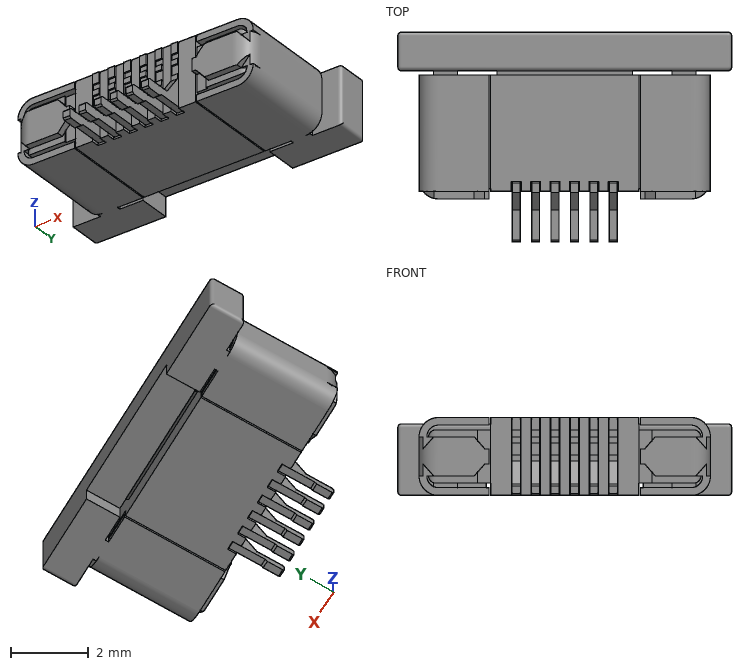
import cadquery as cq
import math


overall_depth = 5.4
height = 2.01
housing_half_width = 1.91
housing_depth = 3.0

wing_half_width = 3.51
wing_bottom = 0.315
wing_top = 1.69
wing_radius = 0.2
wing_recess_depth = 0.06
wing_recess_half_width = 2.25

sheet = 0.2
clip_half_width = 3.75
clip_bend_radius = 0.5
inner_bend_radius = clip_bend_radius - sheet
clip_gap = 0.04
clip_inner_end = housing_half_width + clip_gap
clip_bend_x = clip_half_width - clip_bend_radius
flap_bottom = clip_bend_radius
flap_top = height - clip_bend_radius
flap_chamfer_height = 0.31
flap_inner_chamfer = 0.27
flap_outer_chamfer = 0.28
flap_end_step = 0.11

slider_half_width = 4.3
slider_depth = 1.0
slider_gap = 0.1
slider_front = housing_depth + slider_gap
slider_height = 1.845
slider_radius = 0.1
cable_slot_half_width = 2.02
cable_slot_height = 0.6
tongue_half_width = 1.75
tongue_bottom = 0.63
tongue_tip_bottom = 0.75
tongue_top = 1.35
side_tab_inner = 2.76
side_tab_outer = 3.38

pin_count = 6
pin_pitch = 0.5
pin_width = 0.21
pin_slot_width = 0.25
pin_slot_depth = 0.25
pin_back_chamfer = 0.04
pin_face = -0.03
pin_notch_face = 0.02
upper_notch = (1.51, 1.69)
lower_notch = (1.04, 1.35)
leg_top = 0.886
foot_tip = slider_front + slider_depth - overall_depth
foot_top = 0.29
foot_start = -0.48
foot_chamfer = 0.05
pin_underside = 0.06
sole_start = -0.79

pin_positions = [(i - (pin_count - 1) / 2) * pin_pitch for i in range(pin_count)]


def block(x, y, z):
    """Box between the two limits given for each axis."""
    size = [limits[1] - limits[0] for limits in (x, y, z)]
    return cq.Workplane("XY").box(*size, centered=False).translate((x[0], y[0], z[0]))


def extrude_along_y(outline, start, end):
    """Extrude an XZ outline from Y = start to Y = end."""
    return outline.extrude(start - end).translate((0, start, 0))


def make_wing():
    """Right wing of the housing, rounded along its outer edges and recessed at its inner end."""
    wing = block((0, wing_half_width), (0, housing_depth), (wing_bottom, wing_top))
    wing = wing.edges(">X and (|Y or <Y)").fillet(wing_radius)
    recess = block((0, wing_recess_half_width), (0, wing_recess_depth), (0, height))
    return wing.cut(recess)


def make_clip_shell():
    """C-shaped wrap of the right clip, with its side wall cut back where the flap bends off it."""
    def rounded_bar(inset):
        right = clip_half_width - inset
        bar = block((-right, right), (0, housing_depth), (inset, height - inset))
        return bar.edges("|Y").fillet(clip_bend_radius - inset)

    inner_limit = block((clip_inner_end, clip_half_width), (0, housing_depth), (0, height))
    shell = rounded_bar(0).cut(rounded_bar(sheet)).intersect(inner_limit)
    bend_space = block((clip_bend_x, clip_half_width), (0, inner_bend_radius), (flap_bottom, flap_top))
    return shell.cut(bend_space)


def make_clip_flap():
    """Front flap of the right clip, bent inward from the side wall, with its corners cut off."""
    bend_y = inner_bend_radius
    diagonal = math.sqrt(0.5)
    flap = (
        cq.Workplane("XY")
        .workplane(offset=flap_bottom)
        .moveTo(clip_inner_end, -sheet)
        .lineTo(clip_bend_x, -sheet)
        .threePointArc(
            (clip_bend_x + clip_bend_radius * diagonal, bend_y - clip_bend_radius * diagonal),
            (clip_half_width, bend_y),
        )
        .lineTo(clip_half_width - sheet, bend_y)
        .threePointArc(
            (clip_bend_x + inner_bend_radius * diagonal, bend_y - inner_bend_radius * diagonal),
            (clip_bend_x, 0),
        )
        .lineTo(clip_inner_end, 0)
        .close()
        .extrude(flap_top - flap_bottom)
    )
    outer_end = clip_bend_x + math.sqrt(clip_bend_radius**2 - bend_y**2)
    shoulder = clip_inner_end + flap_end_step
    low = flap_bottom + flap_chamfer_height
    high = flap_top - flap_chamfer_height
    outline = cq.Workplane("XZ").polyline([
        (clip_inner_end, low),
        (shoulder, low),
        (shoulder + flap_inner_chamfer, flap_bottom),
        (outer_end - flap_outer_chamfer, flap_bottom),
        (outer_end, low),
        (outer_end, high),
        (outer_end - flap_outer_chamfer, flap_top),
        (shoulder + flap_inner_chamfer, flap_top),
        (shoulder, high),
        (clip_inner_end, high),
    ]).close()
    front_part = extrude_along_y(outline, -sheet, 0)
    rear_part = block((0, clip_half_width), (0, housing_depth), (0, height))
    return flap.intersect(front_part.union(rear_part))


def make_slider():
    """Slider bar with a cable slot through its underside, a tapered tongue and two side tabs."""
    slider_y = (slider_front, slider_front + slider_depth)
    full_width = (-slider_half_width, slider_half_width)
    bar = block(full_width, slider_y, (0, slider_height))
    bar = bar.edges("|Z or >Z").fillet(slider_radius)
    rounded_ends = block(full_width, slider_y, (0, slider_height))
    rounded_ends = rounded_ends.edges("|Y and <Z").fillet(slider_radius)
    bar = bar.intersect(rounded_ends)
    slot_x = (-cable_slot_half_width, cable_slot_half_width)
    bar = bar.cut(block(slot_x, slider_y, (0, cable_slot_height)))

    tongue = (
        cq.Workplane("YZ")
        .polyline([
            (housing_depth, tongue_tip_bottom),
            (slider_front, tongue_bottom),
            (slider_front, tongue_top),
            (housing_depth, tongue_top),
        ])
        .close()
        .extrude(tongue_half_width, both=True)
    )
    tab = block((side_tab_inner, side_tab_outer), (housing_depth, slider_front), (0, cable_slot_height))
    return bar.union(tongue).union(tab).union(tab.mirror("YZ"))


def make_housing():
    """Housing with its wings, clips and slider, and one open slot for each pin."""
    core_x = (-housing_half_width, housing_half_width)
    housing = block(core_x, (0, housing_depth), (0, height))
    for feature in (make_wing(), make_clip_shell(), make_clip_flap()):
        housing = housing.union(feature).union(feature.mirror("YZ"))
    housing = housing.union(make_slider())
    for x in pin_positions:
        slot_x = (x - pin_slot_width / 2, x + pin_slot_width / 2)
        housing = housing.cut(block(slot_x, (0, pin_slot_depth), (0, height)))
    return housing


def make_pin(x):
    """Pin at position x: notched upright in the housing slot, sloping leg and solder foot."""
    profile = (
        cq.Workplane("YZ")
        .polyline([
            (pin_slot_depth, pin_underside),
            (pin_slot_depth, height - pin_back_chamfer),
            (pin_slot_depth - pin_back_chamfer, height),
            (pin_face, height),
            (pin_face, upper_notch[1]),
            (pin_notch_face, upper_notch[1]),
            (pin_notch_face, upper_notch[0]),
            (pin_face, upper_notch[0]),
            (pin_face, lower_notch[1]),
            (pin_notch_face, lower_notch[1]),
            (pin_notch_face, lower_notch[0]),
            (pin_face, lower_notch[0]),
            (pin_face, leg_top),
            (foot_start, foot_top),
            (foot_tip + foot_chamfer, foot_top),
            (foot_tip, foot_top - foot_chamfer),
            (foot_tip, foot_chamfer),
            (foot_tip + foot_chamfer, 0),
            (sole_start, 0),
            (sole_start + pin_underside, pin_underside),
        ])
        .close()
    )
    return profile.extrude(pin_width / 2, both=True).translate((x, 0, 0))


housing = make_housing()
pins = [make_pin(x) for x in pin_positions]

result = cq.Compound.makeCompound([housing.val(), *[pin.val() for pin in pins]])